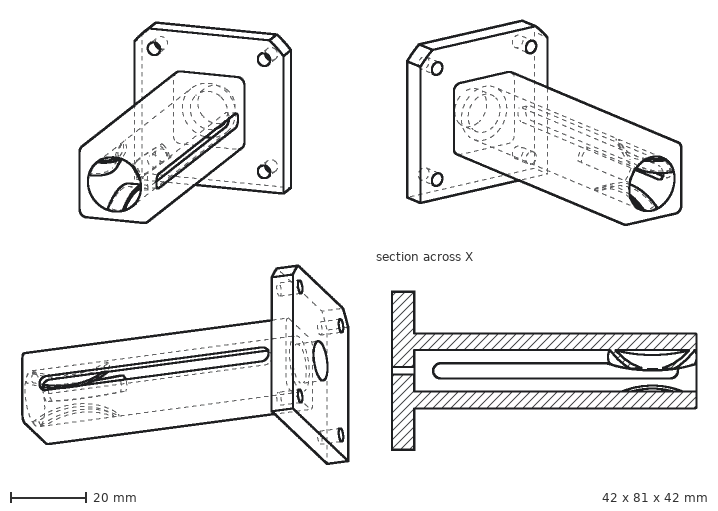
import cadquery as cq
import math

plate_size = 42.0
plate_thickness = 6.0
corner_cut = 4.0
hole_spacing = 31.0
hole_diameter = 3.5

total_length = 81.0
tube_size = 20.0
tube_edge_radius = 2.0
mouth_edge_radius = 0.5

socket_diameter = 15.0
through_diameter = 10.5

leaf_count = 3
leaf_width = 4.3
leaf_thickness = 0.8
leaf_inner_radius = 3.9
leaf_bow_radius = 21.1

window_width = 4.0
window_end_margin = 5.0

half_plate = plate_size / 2
plate_front = -plate_thickness
mouth = -total_length
socket_radius = socket_diameter / 2
tube_length = total_length - plate_thickness


def sketch_plane(y):
    """Plane normal to Y, with X and Z as its axes, that extrudes toward -Y."""
    return cq.Workplane("XZ", origin=(0, y, 0))


def make_plate():
    """Square plate with its two upper corners rounded by an arc about the centre."""
    straight_end = half_plate - corner_cut
    arc_radius = math.hypot(half_plate, straight_end)
    arc_mid = arc_radius / math.sqrt(2)
    outline = (
        sketch_plane(0)
        .moveTo(-half_plate, -half_plate)
        .lineTo(half_plate, -half_plate)
        .lineTo(half_plate, straight_end)
        .threePointArc((arc_mid, arc_mid), (straight_end, half_plate))
        .lineTo(-straight_end, half_plate)
        .threePointArc((-arc_mid, arc_mid), (-half_plate, straight_end))
        .close()
    )
    holes = sketch_plane(0).rect(hole_spacing, hole_spacing, forConstruction=True).vertices()
    holes = holes.circle(hole_diameter / 2).extrude(plate_thickness)
    return outline.extrude(plate_thickness).cut(holes)


def make_tube():
    """Square tube blank with rounded long edges and a softened mouth."""
    tube = sketch_plane(plate_front).rect(tube_size, tube_size).extrude(tube_length)
    tube = tube.edges("|Y").fillet(tube_edge_radius)
    return tube.faces("<Y").edges().fillet(mouth_edge_radius)


def make_bore():
    """Stepped bore along the Y axis."""
    through_hole = sketch_plane(0).circle(through_diameter / 2).extrude(total_length)
    socket = sketch_plane(plate_front).circle(socket_radius).extrude(tube_length)
    return through_hole.union(socket)


def half_chord(radius, height):
    """Half the chord of a circular arc of the given radius and rise."""
    return math.sqrt(radius**2 - (radius - height) ** 2)


def make_leaf():
    """Lower leaf: a bowed strip of constant thickness that springs from the bore wall at both ends."""
    bow_height = socket_radius - leaf_inner_radius
    outer_half = half_chord(leaf_bow_radius, bow_height)
    under_half = half_chord(leaf_bow_radius - leaf_thickness, bow_height - leaf_thickness)
    crest_y = mouth + outer_half
    under_crest_z = -leaf_inner_radius - leaf_thickness
    return (
        cq.Workplane("YZ", origin=(-leaf_width / 2, 0, 0))
        .moveTo(mouth, -socket_radius)
        .threePointArc((crest_y, -leaf_inner_radius), (crest_y + outer_half, -socket_radius))
        .lineTo(crest_y + under_half, -socket_radius)
        .threePointArc((crest_y, under_crest_z), (crest_y - under_half, -socket_radius))
        .close()
        .extrude(leaf_width)
    )


def make_window():
    """Round-ended slot through the +X wall."""
    window_length = tube_length - 2 * window_end_margin
    center_y = (mouth + plate_front) / 2
    slot = cq.Workplane("YZ").center(center_y, 0).slot2D(window_length, window_width)
    return slot.extrude(tube_size)


result = make_plate().union(make_tube())
result = result.cut(make_bore()).cut(make_window())
for i in range(leaf_count):
    leaf_angle = i * 360 / leaf_count
    result = result.union(make_leaf().rotate((0, 0, 0), (0, 1, 0), leaf_angle))